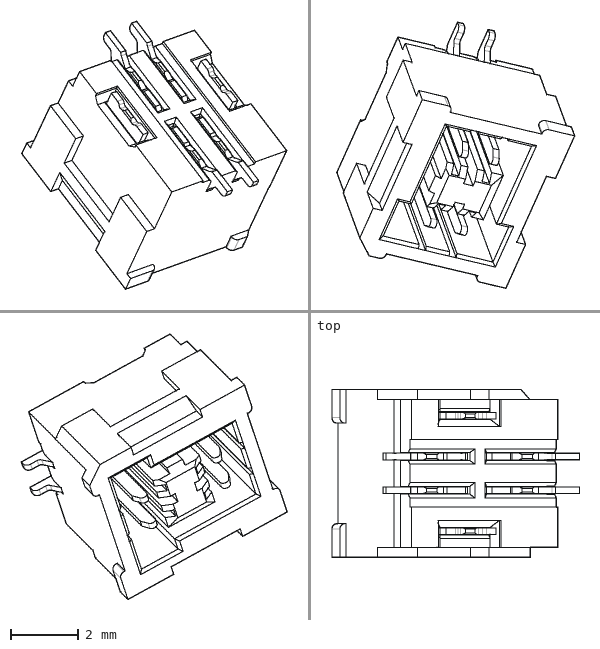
import cadquery as cq
import math

TILT = 28.1

HALF_LENGTH = 2.58
LOWER_HALF_WIDTH = 2.5
UPPER_HALF_WIDTH = 2.21
HEIGHT = 4.25
LOWER_HEIGHT = 2.51
STEP_HEIGHT = 3.56
STEP_DEPTH = 0.22
TOP_RECESS_HALF_WIDTH = 1.0
TOP_RECESS_FLOOR = 4.155

FOOT_PROJECTION = 0.2
FOOT_HEIGHT = 0.51
FOOT_INNER_Y = 1.5
FOOT_ROUND = 0.16
KEY_CORNER_CHAMFER = 0.52

SIDE_RECESS_X = -0.02
SIDE_RECESS_HALF_LENGTH = 1.2
SIDE_RECESS_FLOOR = 1.35
WINDOW_TOP_OUTER = 0.91
WINDOW_TOP_INNER = 0.4

CAVITY_HALF_LENGTH = 2.06
CAVITY_SHOULDER_X = 0.78
CAVITY_NARROW_HALF_WIDTH = 1.395
CAVITY_WIDE_HALF_WIDTH = 1.8
CAVITY_DEPTH = 3.25
MOUTH_INSET = 0.1
MOUTH_CHAMFER_DEPTH = 0.08

TONGUE_HALF_LENGTH = 0.81
TONGUE_HALF_WIDTH = 1.0
TONGUE_TAPER = 0.31
TONGUE_TAPER_HEIGHT = 0.21
TONGUE_KEY_HALF_LENGTH = 0.27
TONGUE_KEY_DEPTH = 0.16
TONGUE_GROOVE_WIDTH = 0.31
TONGUE_GROOVE_BOTTOM = 0.34
TONGUE_SLOT_BOTTOM = 0.54

CONTACT_Y = 0.5
STRIP_THICKNESS = 0.2
SLOT_WIDTH = 0.235
SLOT_INNER_X = 0.28
SLOT_CHAMFER = 0.11
CREST_SIDE_CHAMFER = 0.045
TAIL_END = 3.27
TAIL_START = 2.45
TAIL_TOP = 4.34
TAIL_THICKNESS = 0.31
TAIL_TIP_RADIUS = 0.16
TAIL_NECK_X = 2.76
TAIL_NECK_RADIUS = 0.12
TAIL_TOP_CHAMFER = 0.075
ANKLE_X = 2.57
ANKLE_Z = 3.615
CONTACT_FOOT_X = 2.51
CONTACT_INNER_X = 0.325
CONTACT_INNER_BEVEL = 0.125
CONTACT_FLAT_END = 1.07
CONTACT_FLAT_TOP = 4.09
CONTACT_GROOVE_START = 1.16
CONTACT_GROOVE_END = 2.03
CONTACT_GROOVE = 4.03
CONTACT_CREST_X = 1.615
CONTACT_CREST_HALF = 0.18
CONTACT_CREST_TOP = 4.13
LEG_X = 1.28
LEG_RADIUS = 0.14
LEG_TAPER_ANGLE = 25.0
LEG_SHANK_THICKNESS = 0.4

CLIP_X = -0.4
CLIP_Y = 1.72
CLIP_HALF_LENGTH = 0.85
CLIP_TOP = 4.34
CLIP_SHOULDER = 0.52
CLIP_GROOVE_HALF = 0.3
CLIP_GROOVE = 4.235
CLIP_CREST_TOP = 4.295
CLIP_CREST_HALF = 0.16
POCKET_INNER_Y = 1.4
POCKET_FLOOR = 3.96
POCKET_TAPER_TOP = 4.155
POCKET_TAPER = 0.21
CLIP_SLOT_CHAMFER = 0.095
CLIP_SLOT_DEPTH = 0.15

FOOT_END = HALF_LENGTH + FOOT_PROJECTION
SIDES = (-1, 1)


def block(x0, x1, y0, y1, z0, z1):
    """Box between two corner positions, in any order."""
    center = ((x0 + x1) / 2, (y0 + y1) / 2, (z0 + z1) / 2)
    return cq.Workplane("XY").box(abs(x1 - x0), abs(y1 - y0), abs(z1 - z0)).translate(center)


def plate(profile, y_center, thickness):
    """Extrude an XZ profile symmetrically about a Y position."""
    return profile.extrude(thickness / 2, both=True).translate((0, y_center, 0))


def taper_between(lower_points, z0, upper_points, z1):
    """Straight-sided solid between two matching outlines."""
    lower = cq.Workplane("XY").workplane(offset=z0).polyline(lower_points).close()
    upper = lower.workplane(offset=z1 - z0).polyline(upper_points).close()
    return upper.loft(ruled=True, combine=True)


def rectangle(x0, x1, y0, y1):
    return [(x0, y0), (x1, y0), (x1, y1), (x0, y1)]


def housing_shell():
    shell = block(-HALF_LENGTH, HALF_LENGTH, -LOWER_HALF_WIDTH, LOWER_HALF_WIDTH, 0, LOWER_HEIGHT)
    shell = shell.union(
        block(-HALF_LENGTH, HALF_LENGTH, -UPPER_HALF_WIDTH, UPPER_HALF_WIDTH, LOWER_HEIGHT, STEP_HEIGHT)
    )
    shell = shell.union(
        block(STEP_DEPTH - HALF_LENGTH, HALF_LENGTH, -UPPER_HALF_WIDTH, UPPER_HALF_WIDTH, STEP_HEIGHT, HEIGHT)
    )
    for x_side in SIDES:
        for y_side in SIDES:
            foot = block(
                0, x_side * FOOT_END, y_side * FOOT_INNER_Y, y_side * LOWER_HALF_WIDTH, 0, FOOT_HEIGHT
            )
            inner_edge = cq.selectors.NearestToPointSelector(
                (x_side * FOOT_END, y_side * FOOT_INNER_Y, FOOT_HEIGHT / 2)
            )
            shell = shell.union(foot.edges(inner_edge).fillet(FOOT_ROUND))
    key_corner = (
        cq.Workplane("XY")
        .moveTo(FOOT_END, LOWER_HALF_WIDTH)
        .lineTo(FOOT_END - KEY_CORNER_CHAMFER, LOWER_HALF_WIDTH)
        .lineTo(FOOT_END, LOWER_HALF_WIDTH - KEY_CORNER_CHAMFER)
        .close()
        .extrude(LOWER_HEIGHT)
    )
    top_recess = block(
        -HALF_LENGTH, HALF_LENGTH, -TOP_RECESS_HALF_WIDTH, TOP_RECESS_HALF_WIDTH, TOP_RECESS_FLOOR, HEIGHT
    )
    return shell.cut(key_corner).cut(top_recess)


def side_recesses(y_side):
    """Upper rectangular recess and lower window with a sloped roof in one side wall."""
    outer = y_side * LOWER_HALF_WIDTH
    inner = y_side * UPPER_HALF_WIDTH
    upper = block(
        -SIDE_RECESS_HALF_LENGTH, SIDE_RECESS_HALF_LENGTH, inner, outer, SIDE_RECESS_FLOOR, LOWER_HEIGHT
    )
    window = (
        cq.Workplane("YZ")
        .polyline([(inner, 0), (outer, 0), (outer, WINDOW_TOP_OUTER), (inner, WINDOW_TOP_INNER)])
        .close()
        .extrude(SIDE_RECESS_HALF_LENGTH, both=True)
    )
    return upper.union(window).translate((SIDE_RECESS_X, 0, 0))


def cavity_outline(inset):
    """T-shaped outline of the mating cavity, enlarged on every side by the inset."""
    end = CAVITY_HALF_LENGTH + inset
    narrow = CAVITY_NARROW_HALF_WIDTH + inset
    wide = CAVITY_WIDE_HALF_WIDTH + inset
    shoulder = CAVITY_SHOULDER_X - inset
    return [
        (-end, -narrow), (shoulder, -narrow), (shoulder, -wide), (end, -wide),
        (end, wide), (shoulder, wide), (shoulder, narrow), (-end, narrow),
    ]


def cavity():
    straight = cq.Workplane("XY").polyline(cavity_outline(0)).close().extrude(CAVITY_DEPTH)
    mouth = taper_between(cavity_outline(MOUTH_INSET), 0, cavity_outline(0), MOUTH_CHAMFER_DEPTH)
    space = straight.union(mouth)
    for y_side in SIDES:
        wall_slots = block(
            -CAVITY_HALF_LENGTH - MOUTH_INSET, CAVITY_HALF_LENGTH + MOUTH_INSET,
            y_side * CONTACT_Y - SLOT_WIDTH / 2, y_side * CONTACT_Y + SLOT_WIDTH / 2, 0, CAVITY_DEPTH,
        )
        space = space.union(wall_slots)
    return space


def tongue():
    length, width = TONGUE_HALF_LENGTH, TONGUE_HALF_WIDTH
    tip_length, tip_width = length - TONGUE_TAPER, width - TONGUE_TAPER
    body = block(-length, length, -width, width, TONGUE_TAPER_HEIGHT, CAVITY_DEPTH)
    tip = taper_between(
        rectangle(-tip_length, tip_length, -tip_width, tip_width), 0,
        rectangle(-length, length, -width, width), TONGUE_TAPER_HEIGHT,
    )
    body = body.union(tip)
    half_groove = TONGUE_GROOVE_WIDTH / 2
    for x_side in SIDES:
        outer = x_side * length
        key_corner = block(
            x_side * TONGUE_KEY_HALF_LENGTH, outer, width - TONGUE_KEY_DEPTH, width, 0, CAVITY_DEPTH
        )
        groove = block(x_side * TONGUE_GROOVE_BOTTOM, outer, -half_groove, half_groove, 0, CAVITY_DEPTH)
        body = body.cut(key_corner).cut(groove)
        for y_side in SIDES:
            y_mid = y_side * CONTACT_Y
            slot = block(
                x_side * TONGUE_SLOT_BOTTOM, outer,
                y_mid - SLOT_WIDTH / 2, y_mid + SLOT_WIDTH / 2, 0, CAVITY_DEPTH,
            )
            body = body.cut(slot)
    return body


def contact_slot(x_side, y_mid):
    """Top slot, open at the end wall, with chamfered long and inner edges."""
    inner = x_side * SLOT_INNER_X
    outer = x_side * HALF_LENGTH
    low, high = y_mid - SLOT_WIDTH / 2, y_mid + SLOT_WIDTH / 2
    slot = block(inner, outer, low, high, STEP_HEIGHT, TOP_RECESS_FLOOR)
    chamfer = taper_between(
        rectangle(inner, outer, low, high), TOP_RECESS_FLOOR - SLOT_CHAMFER,
        rectangle(inner - x_side * SLOT_CHAMFER, outer, low - SLOT_CHAMFER, high + SLOT_CHAMFER),
        TOP_RECESS_FLOOR,
    )
    return slot.union(chamfer)


def crest(x_mid, y_mid, base_half, base_z, top_half, top_z):
    """Raised crest with concave ramps at both ends and bevelled sides."""
    ramp_x = (base_half + top_half) / 2
    ramp_z = base_z + (top_z - base_z) / 3
    profile = (
        cq.Workplane("XZ")
        .moveTo(-base_half, STEP_HEIGHT)
        .lineTo(-base_half, base_z)
        .threePointArc((-ramp_x, ramp_z), (-top_half, top_z))
        .lineTo(top_half, top_z)
        .threePointArc((ramp_x, ramp_z), (base_half, base_z))
        .lineTo(base_half, STEP_HEIGHT)
        .close()
        .extrude(STRIP_THICKNESS / 2, both=True)
    )
    profile = profile.faces(">Z").edges("|X").chamfer(CREST_SIDE_CHAMFER)
    return profile.translate((x_mid, y_mid, 0))


def contact(y_mid):
    """Contact on the +X side: solder tail, grooved top bar with a crest, and spring leg."""
    tail_bottom = TAIL_TOP - TAIL_THICKNESS
    tip_center_x = TAIL_END - TAIL_TIP_RADIUS
    tip_center_z = tail_bottom + TAIL_TIP_RADIUS
    diagonal = math.sqrt(0.5)
    bar = (
        cq.Workplane("XZ")
        .moveTo(CONTACT_INNER_X, STEP_HEIGHT)
        .lineTo(CONTACT_INNER_X, CONTACT_FLAT_TOP - CONTACT_INNER_BEVEL)
        .lineTo(CONTACT_INNER_X + CONTACT_INNER_BEVEL, CONTACT_FLAT_TOP)
        .lineTo(CONTACT_FLAT_END, CONTACT_FLAT_TOP)
        .lineTo(CONTACT_GROOVE_START, CONTACT_GROOVE)
        .lineTo(CONTACT_GROOVE_END, CONTACT_GROOVE)
        .lineTo(TAIL_START - TAIL_TOP_CHAMFER, TAIL_TOP - TAIL_TOP_CHAMFER)
        .lineTo(TAIL_START, TAIL_TOP)
        .lineTo(TAIL_END, TAIL_TOP)
        .lineTo(TAIL_END, tip_center_z)
        .threePointArc(
            (tip_center_x + TAIL_TIP_RADIUS * diagonal, tip_center_z - TAIL_TIP_RADIUS * diagonal),
            (tip_center_x, tail_bottom),
        )
        .lineTo(TAIL_NECK_X + TAIL_NECK_RADIUS, tail_bottom)
        .tangentArcPoint((TAIL_NECK_X, tail_bottom - TAIL_NECK_RADIUS * diagonal), relative=False)
        .lineTo(ANKLE_X, ANKLE_Z)
        .lineTo(CONTACT_FOOT_X, STEP_HEIGHT)
        .close()
    )
    leg_inner = LEG_X - LEG_RADIUS
    shank_outer = leg_inner + LEG_SHANK_THICKNESS
    taper = math.radians(LEG_TAPER_ANGLE)
    taper_x = LEG_X + LEG_RADIUS * math.cos(taper)
    taper_z = LEG_RADIUS - LEG_RADIUS * math.sin(taper)
    taper_top = taper_z + (shank_outer - taper_x) / math.tan(taper)
    leg = (
        cq.Workplane("XZ")
        .moveTo(leg_inner, CAVITY_DEPTH)
        .lineTo(leg_inner, LEG_RADIUS)
        .threePointArc((LEG_X, 0), (taper_x, taper_z))
        .lineTo(shank_outer, taper_top)
        .lineTo(shank_outer, CAVITY_DEPTH)
        .close()
    )
    groove_half = CONTACT_CREST_X - CONTACT_GROOVE_START
    top_crest = crest(
        CONTACT_CREST_X, y_mid, groove_half, CONTACT_GROOVE, CONTACT_CREST_HALF, CONTACT_CREST_TOP
    )
    return plate(bar, y_mid, STRIP_THICKNESS).union(plate(leg, y_mid, STRIP_THICKNESS)).union(top_crest)


def clip_pocket(y_side):
    """Tapered pocket in the top edge of one side wall, with a chamfered slot for the clip."""
    inner_y = y_side * POCKET_INNER_Y
    outer_y = y_side * UPPER_HALF_WIDTH
    floor_y = inner_y + y_side * POCKET_TAPER
    low, high = CLIP_X - CLIP_HALF_LENGTH, CLIP_X + CLIP_HALF_LENGTH
    wide_low, wide_high = low - POCKET_TAPER, high + POCKET_TAPER
    pocket = block(wide_low, wide_high, inner_y, outer_y, POCKET_TAPER_TOP, HEIGHT)
    pocket = pocket.union(taper_between(
        rectangle(low, high, floor_y, outer_y), POCKET_FLOOR,
        rectangle(wide_low, wide_high, inner_y, outer_y), POCKET_TAPER_TOP,
    ))
    slot_outer = y_side * (CLIP_Y + SLOT_WIDTH / 2)
    slot_floor = POCKET_FLOOR - CLIP_SLOT_DEPTH
    slot = (
        cq.Workplane("YZ")
        .moveTo(floor_y, slot_floor)
        .lineTo(slot_outer, slot_floor)
        .lineTo(slot_outer, POCKET_FLOOR - CLIP_SLOT_CHAMFER)
        .lineTo(slot_outer + y_side * CLIP_SLOT_CHAMFER, POCKET_FLOOR)
        .lineTo(floor_y, POCKET_FLOOR)
        .close()
        .extrude(CLIP_HALF_LENGTH, both=True)
        .translate((CLIP_X, 0, 0))
    )
    return pocket.union(slot)


def clip(y_side):
    """Flat hold-down clip with an S-curved saddle and a crest in its middle."""
    base = POCKET_FLOOR - CLIP_SLOT_DEPTH
    y_mid = y_side * CLIP_Y
    bend_x = (CLIP_SHOULDER + CLIP_GROOVE_HALF) / 2
    bend_z = (CLIP_TOP + CLIP_GROOVE) / 2
    profile = (
        cq.Workplane("XZ")
        .moveTo(-CLIP_HALF_LENGTH, base)
        .lineTo(-CLIP_HALF_LENGTH, CLIP_TOP)
        .lineTo(-CLIP_SHOULDER, CLIP_TOP)
        .tangentArcPoint((-bend_x, bend_z), relative=False)
        .tangentArcPoint((-CLIP_GROOVE_HALF, CLIP_GROOVE), relative=False)
        .lineTo(CLIP_GROOVE_HALF, CLIP_GROOVE)
        .tangentArcPoint((bend_x, bend_z), relative=False)
        .tangentArcPoint((CLIP_SHOULDER, CLIP_TOP), relative=False)
        .lineTo(CLIP_HALF_LENGTH, CLIP_TOP)
        .lineTo(CLIP_HALF_LENGTH, base)
        .close()
    )
    saddle_crest = crest(0, y_mid, CLIP_GROOVE_HALF, CLIP_GROOVE, CLIP_CREST_HALF, CLIP_CREST_TOP)
    return plate(profile, y_mid, STRIP_THICKNESS).union(saddle_crest).translate((CLIP_X, 0, 0))


part = housing_shell().cut(cavity()).union(tongue())
for y_side in SIDES:
    part = part.cut(side_recesses(y_side)).cut(clip_pocket(y_side))
    for x_side in SIDES:
        part = part.cut(contact_slot(x_side, y_side * CONTACT_Y))
for y_side in SIDES:
    part = part.union(clip(y_side))
    right_contact = contact(y_side * CONTACT_Y)
    part = part.union(right_contact).union(right_contact.mirror("YZ"))

result = part.rotate((0, 0, 0), (0, 1, 0), TILT)